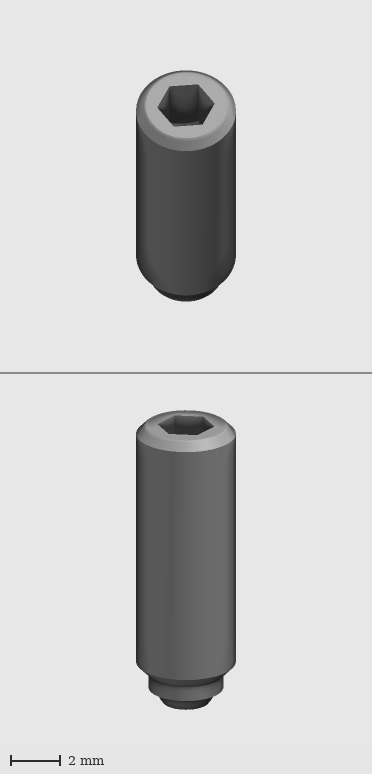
import cadquery as cq
import math

total_length = 11.9
body_radius = 2.0

head_chamfer = 0.31
bevel_width = 0.07
bevel_height = 0.05

collar_radius = 1.5
collar_bottom_z = 0.61
collar_height = 0.61
shoulder_height = 0.5

ball_radius = 1.25
flat_radius = 0.92
ball_center_z = math.sqrt(ball_radius**2 - flat_radius**2)

socket_across_flats = 2.0
socket_depth = 2.5
socket_point_angle = 120.0
socket_across_corners = socket_across_flats / math.cos(math.radians(30))


def make_ball():
    """Sphere cut off flat at Z = 0."""
    sphere = cq.Workplane("XY").sphere(ball_radius).translate((0, 0, ball_center_z))
    upper_space = cq.Workplane("XY").circle(body_radius).extrude(total_length)
    return sphere.intersect(upper_space)


def make_blank():
    """Turned outside of the screw, without its socket and ball seat."""
    collar_top_z = collar_bottom_z + collar_height
    shoulder_top_z = collar_top_z + shoulder_height
    bevel_outer_radius = body_radius - head_chamfer
    bevel_bottom_z = total_length - bevel_height
    return (
        cq.Workplane("XZ")
        .moveTo(0, collar_bottom_z)
        .lineTo(collar_radius, collar_bottom_z)
        .lineTo(collar_radius, collar_top_z)
        .lineTo(body_radius, shoulder_top_z)
        .lineTo(body_radius, bevel_bottom_z - head_chamfer)
        .lineTo(bevel_outer_radius, bevel_bottom_z)
        .lineTo(bevel_outer_radius - bevel_width, total_length)
        .lineTo(0, total_length)
        .close()
        .revolve(360, (0, 0), (0, 1))
    )


def make_socket():
    """Hexagonal prism narrowed to a cone point at its lower end."""
    corner_radius = socket_across_corners / 2
    cone_height = corner_radius / math.tan(math.radians(socket_point_angle / 2))
    cone_top_z = total_length - socket_depth
    cone_tip_z = cone_top_z - cone_height
    prism = (
        cq.Workplane("XY")
        .workplane(offset=cone_tip_z)
        .polygon(6, socket_across_corners)
        .extrude(total_length - cone_tip_z)
    )
    pointed_bore = (
        cq.Workplane("XZ")
        .moveTo(0, cone_tip_z)
        .lineTo(corner_radius, cone_top_z)
        .lineTo(corner_radius, total_length)
        .lineTo(0, total_length)
        .close()
        .revolve(360, (0, 0), (0, 1))
    )
    return prism.intersect(pointed_bore)


ball = make_ball()
screw = make_blank().cut(make_socket()).cut(ball)

result = cq.Compound.makeCompound([screw.val(), ball.val()])